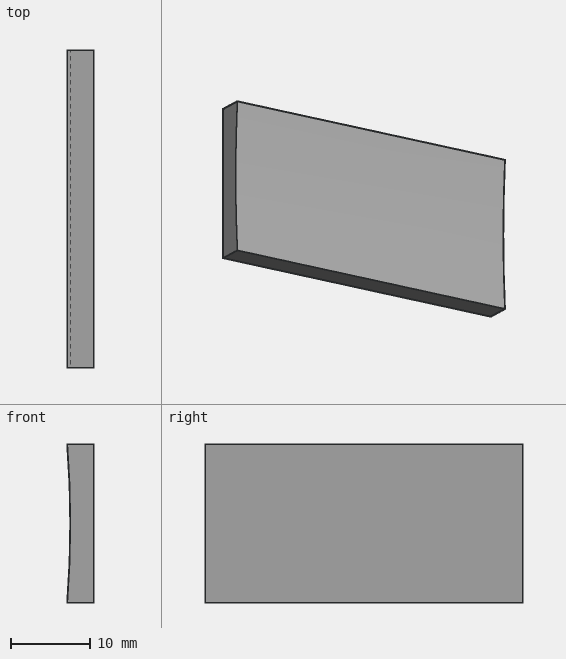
import cadquery as cq

edge_thickness = 3.39
length = 40.0
height = 20.0
centre_thickness = 3.0

back_x = edge_thickness / 2
edge_x = back_x - edge_thickness
hollow_x = back_x - centre_thickness
half_height = height / 2

profile = (
    cq.Workplane("XZ")
    .moveTo(back_x, -half_height)
    .lineTo(back_x, half_height)
    .lineTo(edge_x, half_height)
    .threePointArc((hollow_x, 0), (edge_x, -half_height))
    .close()
)
result = profile.extrude(length / 2, both=True)